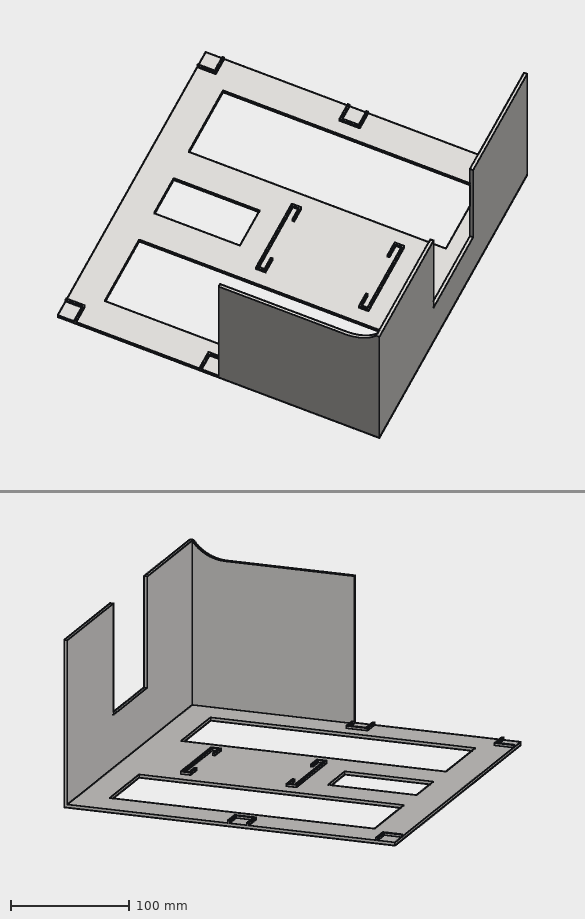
import cadquery as cq

length = 300
width = 300
height = 149.0
sheet = 3.0
middle_y = width / 2

side_wall_start = length / 2
side_wall_height = 134.0
sweep_start = 267
sweep_end = length - sheet

notch_width = 80.0
notch_floor = 50.0

window_margin = 30
large_window_width = 70.0
small_window_length = 80.0
small_window_width = 40.0

rib = 1.8
rib_height = 2.0
pocket = 15.5
edge_pocket_start = side_wall_start - pocket
rail_start = 132.5
rail_end = 237.5
rail_length = 73.0
rail_depth = 9.0
hook_length = 14.7


def box(x0, x1, y0, y1, z0, z1):
    """Box given by its limits along each axis."""
    return cq.Workplane("XY").box(x1 - x0, y1 - y0, z1 - z0, centered=False).translate((x0, y0, z0))


def raised(x0, x1, y0, y1):
    """Rib block standing on the base plate, seated through its full thickness."""
    return box(x0, x1, y0, y1, 0, sheet + rib_height)


def base_plate():
    plate = box(0, length, 0, width, 0, sheet)
    x0 = window_margin
    x1 = length - window_margin
    for y0 in (window_margin, width - window_margin - large_window_width):
        plate = plate.cut(box(x0, x1, y0, y0 + large_window_width, 0, sheet))
    half = small_window_width / 2
    return plate.cut(box(x0, x0 + small_window_length, middle_y - half, middle_y + half, 0, sheet))


def end_wall():
    wall = box(length - sheet, length, 0, width, 0, height)
    half = notch_width / 2
    return wall.cut(box(length - sheet, length, middle_y - half, middle_y + half, notch_floor, height))


def side_wall():
    return (
        cq.Workplane("XZ")
        .moveTo(side_wall_start, 0)
        .lineTo(side_wall_start, side_wall_height)
        .lineTo(sweep_start, side_wall_height)
        .tangentArcPoint((sweep_end, height), relative=False)
        .lineTo(length, height)
        .lineTo(length, 0)
        .close()
        .extrude(-sheet)
    )


def foot_pocket(x0):
    """Ribs around a square pocket that is open at the front edge of the plate."""
    outer_start = max(x0 - rib, 0)
    outer = raised(outer_start, x0 + pocket + rib, 0, pocket + rib)
    return outer.cut(box(x0, x0 + pocket, 0, pocket, sheet, sheet + rib_height))


def hooked_rail():
    """Rail with its back at X = 0 and a hook at each end that opens toward +X."""
    y0 = middle_y - rail_length / 2
    y1 = middle_y + rail_length / 2
    rail = raised(0, rail_depth, y0, y1)
    rail = rail.cut(raised(rib, rail_depth - rib, y0 + rib, y1 - rib))
    return rail.cut(raised(rail_depth - rib, rail_depth, y0 + hook_length, y1 - hook_length))


result = base_plate().union(end_wall()).union(side_wall())
for pocket_start in (0, edge_pocket_start):
    front_pocket = foot_pocket(pocket_start)
    result = result.union(front_pocket)
    result = result.union(front_pocket.mirror("XZ", (0, middle_y, 0)))

result = result.union(hooked_rail().translate((rail_start, 0, 0)))
result = result.union(hooked_rail().mirror("YZ").translate((rail_end, 0, 0)))